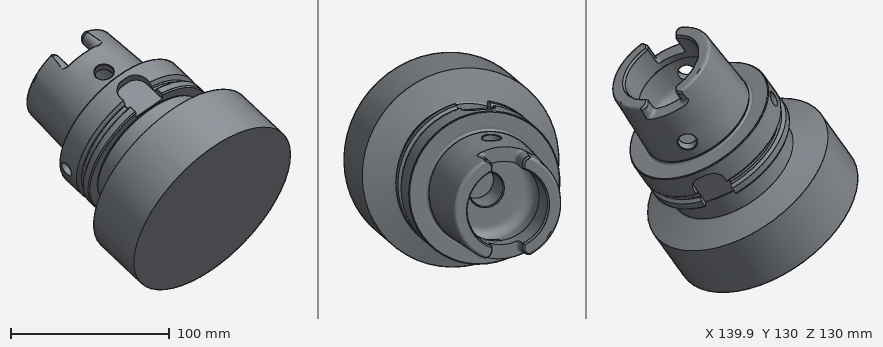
import cadquery as cq
import math


shank_length = 50.0
taper_end_x = 47.1
taper_end_radius = 75.3 / 2
taper_slope = 0.05
shank_end_round = 2.0
relief_start_x = 48.4
relief_radius = 37.1
relief_round = 1.7
face_undercut_radius = 39.5

flange_radius = 100.0 / 2
flange_end_x = 78.8
flange_front_chamfer = 0.5
flange_rear_chamfer_length = 1.0
flange_rear_chamfer_depth = 0.7
groove_start_x = 66.5
groove_end_x = 73.2
groove_radius = 45.9
groove_flank_angle = 30
groove_floor_start_x = 68.1
groove_floor_end_x = 71.8
groove_floor_round = 0.5

neck_radius = 87.0 / 2
neck_relief_radius = 43.1
neck_relief_length = 1.0
body_radius = 130.0 / 2
body_start_x = 100.7
body_cone_angle = 15
neck_fillet = 1.0
total_length = 139.9

bore_radius = 53.0 / 2
mouth_radius = 27.4
mouth_chamfer_length = 1.7
bore_end_x = 19.3
clamp_radius = 63.0 / 2
clamp_shoulder_angle = 60
clamp_end_x = 39.5
cavity_floor_round = 6.9
center_hole_radius = 22.5 / 2
center_hole_depth = 21.0
center_hole_chamfer = 0.7

upper_notch_depth = 15.0
lower_notch_depth = 10.0
notch_half_width = 10.1
notch_tooth_round = 4.8
notch_tangent_radius = 36.0
notch_floor_round = 2.0
notch_mouth_chamfer_length = 2.0
notch_mouth_chamfer_width = 1.0
notch_side = 22.4
notch_top = 44.8

slot_start_x = 54.8
slot_width = 22.0
slot_floor_height = 43.9
slot_corner_radius = 8.8
cross_hole_diameter = 12.0
cross_hole_x = 34.8
cross_hole_chamfer = 0.4
side_hole_diameter = 10.0
side_hole_x = 57.0
side_hole_depth = 4.5

overrun = 1.4
pick_margin = 0.1


def outer_body():
    taper_start_radius = taper_end_radius - taper_slope * taper_end_x
    relief_end_x = relief_start_x + relief_round
    cone_start_x = body_start_x - (body_radius - neck_radius) * math.tan(math.radians(body_cone_angle))
    blank = (
        cq.Workplane("XY")
        .moveTo(0, 0)
        .lineTo(0, taper_start_radius)
        .lineTo(taper_end_x, taper_end_radius)
        .lineTo(relief_start_x, relief_radius)
        .radiusArc((relief_end_x, relief_radius + relief_round), -relief_round)
        .lineTo(shank_length, face_undercut_radius)
        .lineTo(shank_length, flange_radius - flange_front_chamfer)
        .lineTo(shank_length + flange_front_chamfer, flange_radius)
        .lineTo(flange_end_x - flange_rear_chamfer_length, flange_radius)
        .lineTo(flange_end_x, flange_radius - flange_rear_chamfer_depth)
        .lineTo(flange_end_x, neck_relief_radius)
        .lineTo(flange_end_x + neck_relief_length, neck_radius)
        .lineTo(cone_start_x, neck_radius)
        .lineTo(body_start_x, body_radius)
        .lineTo(total_length, body_radius)
        .lineTo(total_length, 0)
        .close()
        .revolve(360, (0, 0, 0), (1, 0, 0))
    )
    cone_foot = cq.selectors.BoxSelector(
        (cone_start_x - pick_margin, -body_radius, -body_radius),
        (cone_start_x + pick_margin, body_radius, body_radius),
    )
    return blank.faces("<X").edges().fillet(shank_end_round).edges(cone_foot).fillet(neck_fillet)


def gripper_groove():
    """Ring cutter: slanted flanks lead into a narrower straight groove with a rounded floor."""
    flank_slope = math.tan(math.radians(groove_flank_angle))
    front_flank_depth = (groove_floor_start_x - groove_start_x) / flank_slope
    rear_flank_depth = (groove_end_x - groove_floor_end_x) / flank_slope
    outer_radius = flange_radius + overrun
    outline = [
        (groove_start_x, outer_radius),
        (groove_start_x, flange_radius),
        (groove_floor_start_x, flange_radius - front_flank_depth),
        (groove_floor_start_x, groove_radius),
        (groove_floor_end_x, groove_radius),
        (groove_floor_end_x, flange_radius - rear_flank_depth),
        (groove_end_x, flange_radius),
        (groove_end_x, outer_radius),
    ]
    ring = cq.Workplane("XY").polyline(outline).close().revolve(360, (0, 0, 0), (1, 0, 0))
    floor_edges = cq.selectors.BoxSelector(
        (groove_floor_start_x - pick_margin, -groove_radius - pick_margin, -groove_radius - pick_margin),
        (groove_floor_end_x + pick_margin, groove_radius + pick_margin, groove_radius + pick_margin),
        boundingbox=True,
    )
    return ring.edges(floor_edges).fillet(groove_floor_round)


def cavity():
    shoulder_length = (clamp_radius - bore_radius) / math.tan(math.radians(clamp_shoulder_angle))
    floor_x = clamp_end_x + cavity_floor_round
    round_mid = cavity_floor_round * math.sqrt(0.5)
    return (
        cq.Workplane("XY")
        .moveTo(0, 0)
        .lineTo(0, mouth_radius)
        .lineTo(mouth_chamfer_length, bore_radius)
        .lineTo(bore_end_x, bore_radius)
        .lineTo(bore_end_x + shoulder_length, clamp_radius)
        .lineTo(clamp_end_x, clamp_radius)
        .threePointArc(
            (clamp_end_x + round_mid, clamp_radius - cavity_floor_round + round_mid),
            (floor_x, clamp_radius - cavity_floor_round),
        )
        .lineTo(floor_x, center_hole_radius + center_hole_chamfer)
        .lineTo(floor_x + center_hole_chamfer, center_hole_radius)
        .lineTo(floor_x + center_hole_depth, center_hole_radius)
        .lineTo(floor_x + center_hole_depth, 0)
        .close()
        .revolve(360, (0, 0, 0), (1, 0, 0))
    )


def notch_outline(x):
    """Outline of the +Z notch in the plane at x.

    The tooth corner arcs start at the notch walls and end tangent to a circle around the axis.
    """
    arc_y = notch_half_width + notch_tooth_round
    arc_distance = notch_tangent_radius - notch_tooth_round
    arc_z = math.sqrt(arc_distance**2 - arc_y**2)
    end_y = arc_y * notch_tangent_radius / arc_distance
    end_z = arc_z * notch_tangent_radius / arc_distance
    side_z = end_z - (notch_side - end_y) * arc_y / arc_z
    return (
        cq.Workplane("YZ", origin=(x, 0, 0))
        .moveTo(-notch_half_width, 0)
        .lineTo(notch_half_width, 0)
        .lineTo(notch_half_width, arc_z)
        .radiusArc((end_y, end_z), notch_tooth_round)
        .lineTo(notch_side, side_z)
        .lineTo(notch_side, notch_top)
        .lineTo(-notch_side, notch_top)
        .lineTo(-notch_side, side_z)
        .lineTo(-end_y, end_z)
        .radiusArc((-notch_half_width, arc_z), notch_tooth_round)
        .close()
    )


def drive_notch(depth):
    """Cutter for the notch on the +Z side with a rounded floor and a chamfered mouth."""
    wall_edges = cq.selectors.BoxSelector(
        (depth - pick_margin, pick_margin - notch_side, pick_margin),
        (depth + pick_margin, notch_side - pick_margin, notch_tangent_radius),
    )
    notch = notch_outline(0).extrude(depth).edges(wall_edges).fillet(notch_floor_round)
    flare = math.degrees(math.atan(notch_mouth_chamfer_width / notch_mouth_chamfer_length))
    mouth = notch_outline(notch_mouth_chamfer_length).extrude(-notch_mouth_chamfer_length, taper=-flare)
    return notch.union(mouth)


def flange_slot():
    """Cutter for the slot on the +Z side, open toward the neck."""
    height = flange_radius - slot_floor_height + overrun
    length = flange_end_x - slot_start_x
    return (
        cq.Workplane("XY")
        .box(length, slot_width, height, centered=(False, True, False))
        .edges("|Z and <X")
        .fillet(slot_corner_radius)
        .translate((slot_start_x, 0, slot_floor_height))
    )


def opposite(cutter):
    """The same cutter on the -Z side."""
    return cutter.rotate((0, 0, 0), (1, 0, 0), 180)


def add_cross_hole(body):
    """Drill along Z through both shank walls and chamfer the two outer rims."""
    hole = (
        cq.Workplane("XY")
        .center(cross_hole_x, 0)
        .circle(cross_hole_diameter / 2)
        .extrude(flange_radius, both=True)
    )
    body = body.cut(hole)
    rim_search_start = (clamp_radius + taper_end_radius) / 2
    for side in (1, -1):
        rim = cq.selectors.BoxSelector(
            (cross_hole_x - pick_margin, -pick_margin, side * rim_search_start),
            (cross_hole_x + pick_margin, pick_margin, side * flange_radius),
        )
        body = body.edges(rim).chamfer(cross_hole_chamfer)
    return body


side_hole = (
    cq.Workplane("XZ", origin=(side_hole_x, side_hole_depth - flange_radius, 0))
    .circle(side_hole_diameter / 2)
    .extrude(flange_radius)
)

result = add_cross_hole(outer_body().cut(cavity()))
result = result.cut(gripper_groove())
result = result.cut(drive_notch(upper_notch_depth)).cut(opposite(drive_notch(lower_notch_depth)))
result = result.cut(flange_slot()).cut(opposite(flange_slot()))
result = result.cut(side_hole)